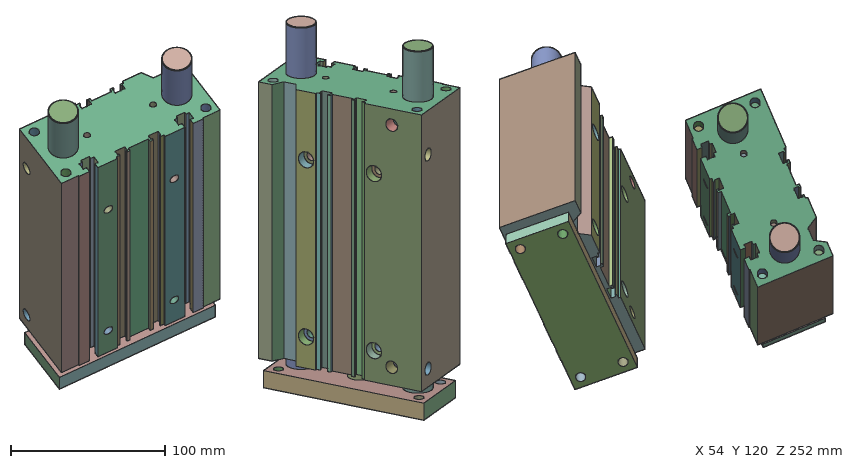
import cadquery as cq

TOTAL_HEIGHT = 252.0
HOUSING_WIDTH = 54.0
HOUSING_DEPTH = 120.0
HOUSING_HEIGHT = 194.0
PLATE_WIDTH = 43.8
PLATE_DEPTH = 118.0
PLATE_THICKNESS = 12.0
PLATE_GAP = 10.0
HOUSING_BOTTOM = PLATE_THICKNESS + PLATE_GAP
HOUSING_TOP = HOUSING_BOTTOM + HOUSING_HEIGHT
SIDE_X = HOUSING_WIDTH / 2
END_Y = HOUSING_DEPTH / 2

GUIDE_ROD_DIAMETER = 20.0
GUIDE_ROD_SPACING = 86.0
GUIDE_ROD_Y = GUIDE_ROD_SPACING / 2
GUIDE_ROD_CHAMFER = 0.5
PISTON_ROD_DIAMETER = 16.0
PISTON_ROD_INSERTION = 30.2

RELIEF_DEPTH = 0.8
RELIEF_START_Y = 47.0

BAND_HALF_DEPTH = 18.0
BAND_X = 25.5
RAIL_INNER_Y = 7.5
RECESS_X = 23.2
SENSOR_SLOT_Y = 12.5
SENSOR_MOUTH = 5.3
SENSOR_SLOT_WIDTH = 7.3
SENSOR_LIP_X = 24.2
SENSOR_FLOOR_X = 21.0

T_SLOT_Y = 36.0
T_MOUTH = 6.3
T_HEAD_WIDTH = 11.0
T_HEAD_OUTER_X = 23.2
T_HEAD_INNER_X = 18.0
T_FLOOR_X = 16.1

GROOVE_Y = 41.0
GROOVE_MOUTH = 18.0
GROOVE_FLOOR = 8.8
GROOVE_DEPTH = 7.8

MOUNT_HOLE_Y = 25.0
MOUNT_HOLE_DIAMETER = 6.5
MOUNT_BORE_DIAMETER = 11.0
MOUNT_BORE_DEPTH = 7.5
MOUNT_HOLE_HEIGHTS = (HOUSING_BOTTOM + 22.0, HOUSING_TOP - 48.0)
PORT_DIAMETER = 8.5
PORT_DEPTH = 10.0
PORT_LOW_Z = HOUSING_BOTTOM + 12.9
SIDE_PORT_Y = -38.0
SIDE_PORT_HEIGHTS = (PORT_LOW_Z, HOUSING_TOP - 11.3)
END_PORT_X = -18.0
END_PORT_HEIGHTS = (PORT_LOW_Z, HOUSING_TOP - 31.0)
CORNER_HOLE_X = 20.0
CORNER_HOLE_Y = 53.0
CORNER_HOLE_DIAMETER = 6.5
CORNER_HOLE_DEPTH = 15.0
TOP_HOLE_Y = 25.0
TOP_HOLE_DIAMETER = 4.3
TOP_HOLE_DEPTH = 10.0
PLATE_HOLE_X = 14.9
PLATE_HOLE_Y = 51.7
PLATE_HOLE_DIAMETER = 6.5


def corners(x, y):
    """Four points mirrored about both axes."""
    return [(sx * x, sy * y) for sx in (-1, 1) for sy in (-1, 1)]


def pair(y):
    """Two points on the Y axis, mirrored about the origin."""
    return [(0, y), (0, -y)]


def block(x_a, x_b, y_a, y_b):
    """A rectangular prism over the full height of the housing."""
    width = abs(x_b - x_a)
    depth = abs(y_b - y_a)
    return (
        cq.Workplane("XY", origin=((x_a + x_b) / 2, (y_a + y_b) / 2, HOUSING_BOTTOM))
        .rect(width, depth)
        .extrude(HOUSING_HEIGHT)
    )


def slot(x_outer, x_inner, y_center, width):
    """A prism of the given width centred on y_center."""
    return block(x_outer, x_inner, y_center - width / 2, y_center + width / 2)


def cylinder_along_x(x_start, length, diameter, y, z):
    return cq.Workplane("YZ", origin=(x_start, y, z)).circle(diameter / 2).extrude(length)


def cut_relief(body):
    """Lower the +X face slightly beyond the T-slots at both ends."""
    for side in (-1, 1):
        body = body.cut(block(SIDE_X - RELIEF_DEPTH, SIDE_X, side * RELIEF_START_Y, side * END_Y))
    return body


def cut_sensor_rails(body):
    """Shallow band, central recess and two lipped slots on each X face."""
    for side in (-1, 1):
        face_x = side * SIDE_X
        body = body.cut(block(face_x, side * BAND_X, -BAND_HALF_DEPTH, BAND_HALF_DEPTH))
        body = body.cut(block(face_x, side * RECESS_X, -RAIL_INNER_Y, RAIL_INNER_Y))
        for slot_y in (-SENSOR_SLOT_Y, SENSOR_SLOT_Y):
            body = body.cut(slot(face_x, side * SENSOR_FLOOR_X, slot_y, SENSOR_MOUTH))
            body = body.cut(slot(side * SENSOR_LIP_X, side * SENSOR_FLOOR_X, slot_y, SENSOR_SLOT_WIDTH))
    return body


def cut_t_slots(body):
    """Two T-slots with a clearance channel in the floor."""
    for slot_y in (-T_SLOT_Y, T_SLOT_Y):
        body = body.cut(slot(SIDE_X, T_FLOOR_X, slot_y, T_MOUTH))
        body = body.cut(slot(T_HEAD_OUTER_X, T_HEAD_INNER_X, slot_y, T_HEAD_WIDTH))
    return body


def cut_groove(body):
    """Open trapezoidal groove along the -X face."""
    floor_x = -SIDE_X + GROOVE_DEPTH
    groove = (
        cq.Workplane("XY", origin=(0, 0, HOUSING_BOTTOM))
        .polyline([
            (-SIDE_X, GROOVE_Y - GROOVE_MOUTH / 2),
            (floor_x, GROOVE_Y - GROOVE_FLOOR / 2),
            (floor_x, GROOVE_Y + GROOVE_FLOOR / 2),
            (-SIDE_X, GROOVE_Y + GROOVE_MOUTH / 2),
        ])
        .close()
        .extrude(HOUSING_HEIGHT)
    )
    return body.cut(groove)


def cut_mount_holes(body):
    """Through holes along X, counterbored from the -X face."""
    for z in MOUNT_HOLE_HEIGHTS:
        for y in (-MOUNT_HOLE_Y, MOUNT_HOLE_Y):
            body = body.cut(cylinder_along_x(-SIDE_X, HOUSING_WIDTH, MOUNT_HOLE_DIAMETER, y, z))
            body = body.cut(cylinder_along_x(-SIDE_X, MOUNT_BORE_DEPTH, MOUNT_BORE_DIAMETER, y, z))
    return body


def cut_ports(body):
    """Blind ports in the -X face and in the -Y face."""
    for z in SIDE_PORT_HEIGHTS:
        body = body.cut(cylinder_along_x(-SIDE_X, PORT_DEPTH, PORT_DIAMETER, SIDE_PORT_Y, z))
    for z in END_PORT_HEIGHTS:
        port = (
            cq.Workplane("XZ", origin=(END_PORT_X, -END_Y, z))
            .circle(PORT_DIAMETER / 2)
            .extrude(-PORT_DEPTH)
        )
        body = body.cut(port)
    return body


def cut_top_holes(body):
    """Blind holes in the top face: one in each corner and two on the centre line."""
    top = cq.Workplane("XY", origin=(0, 0, HOUSING_TOP))
    corner_holes = (
        top.pushPoints(corners(CORNER_HOLE_X, CORNER_HOLE_Y))
        .circle(CORNER_HOLE_DIAMETER / 2)
        .extrude(-CORNER_HOLE_DEPTH)
    )
    small_holes = (
        top.pushPoints(pair(TOP_HOLE_Y))
        .circle(TOP_HOLE_DIAMETER / 2)
        .extrude(-TOP_HOLE_DEPTH)
    )
    return body.cut(corner_holes).cut(small_holes)


def cut_rod_bores(body):
    """Guide bores through the housing and a blind bore for the piston rod."""
    bottom = cq.Workplane("XY", origin=(0, 0, HOUSING_BOTTOM))
    guide_bores = (
        bottom.pushPoints(pair(GUIDE_ROD_Y))
        .circle(GUIDE_ROD_DIAMETER / 2)
        .extrude(HOUSING_HEIGHT)
    )
    piston_bore = bottom.circle(PISTON_ROD_DIAMETER / 2).extrude(PISTON_ROD_INSERTION)
    return body.cut(guide_bores).cut(piston_bore)


def make_housing():
    body = block(-SIDE_X, SIDE_X, -END_Y, END_Y)
    body = cut_relief(body)
    body = cut_sensor_rails(body)
    body = cut_t_slots(body)
    body = cut_groove(body)
    body = cut_mount_holes(body)
    body = cut_ports(body)
    body = cut_top_holes(body)
    return cut_rod_bores(body)


def make_slide():
    """End plate with the two guide rods and the piston rod fixed to it."""
    plate = cq.Workplane("XY").rect(PLATE_WIDTH, PLATE_DEPTH).extrude(PLATE_THICKNESS)
    plate_holes = (
        cq.Workplane("XY")
        .pushPoints(corners(PLATE_HOLE_X, PLATE_HOLE_Y))
        .circle(PLATE_HOLE_DIAMETER / 2)
        .extrude(PLATE_THICKNESS)
    )
    plate_top = cq.Workplane("XY", origin=(0, 0, PLATE_THICKNESS))
    guide_rods = (
        plate_top.pushPoints(pair(GUIDE_ROD_Y))
        .circle(GUIDE_ROD_DIAMETER / 2)
        .extrude(TOTAL_HEIGHT - PLATE_THICKNESS)
        .faces(">Z")
        .chamfer(GUIDE_ROD_CHAMFER)
    )
    piston_rod = plate_top.circle(PISTON_ROD_DIAMETER / 2).extrude(PLATE_GAP + PISTON_ROD_INSERTION)
    return plate.cut(plate_holes).union(guide_rods).union(piston_rod)


housing = make_housing()
slide = make_slide()

result = cq.Compound.makeCompound([housing.val(), slide.val()])